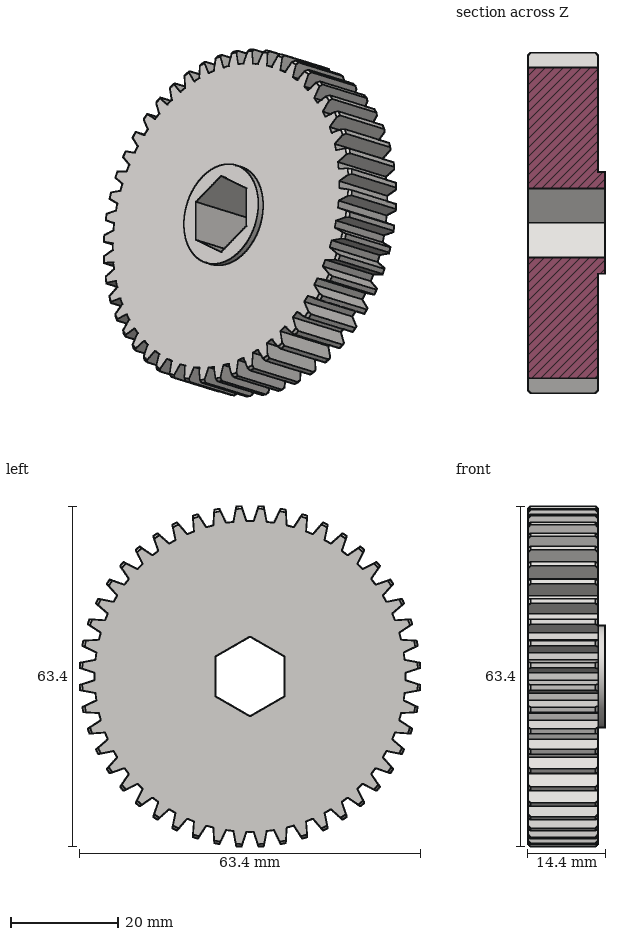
import cadquery as cq
import math

tooth_count = 48
tip_diameter = 63.5
flank_angle = math.radians(14.5)
pitch_thickness = 1.65
dedendum_ratio = 1.2
tip_chamfer = 0.5

gear_width = 13.05
overall_width = 14.4

hub_diameter = 19
hex_across_flats = 12.8

module = tip_diameter / (tooth_count + 2)
pitch_radius = module * tooth_count / 2
tip_radius = tip_diameter / 2
root_radius = pitch_radius - dedendum_ratio * module
pitch_step = 2 * math.pi / tooth_count


def polar(radius, angle):
    """Point at a radius and angle about the gear axis."""
    return (radius * math.cos(angle), radius * math.sin(angle))


def half_tooth_angle(radius):
    """Angle at the gear axis between the tooth centreline and its straight flank."""
    flank_apex = pitch_radius + pitch_thickness / 2 / math.tan(flank_angle)
    return math.asin(flank_apex * math.sin(flank_angle) / radius) - flank_angle


def gear_outline():
    """Closed tooth profile, with tooth gaps centred on the Y and Z axes."""
    root_half = half_tooth_angle(root_radius)
    tip_half = half_tooth_angle(tip_radius)
    outline = cq.Workplane("YZ").moveTo(*polar(root_radius, pitch_step / 2 - root_half))
    for tooth in range(tooth_count):
        centre = (tooth + 0.5) * pitch_step
        gap_centre = centre + pitch_step / 2
        next_root = centre + pitch_step - root_half
        outline = (
            outline
            .lineTo(*polar(tip_radius, centre - tip_half))
            .threePointArc(polar(tip_radius, centre), polar(tip_radius, centre + tip_half))
            .lineTo(*polar(root_radius, centre + root_half))
            .threePointArc(polar(root_radius, gap_centre), polar(root_radius, next_root))
        )
    return outline.close()


def chamfered_blank():
    """Turned disc whose 45 degree edges bevel both ends of the tooth tips."""
    edge_radius = tip_radius - tip_chamfer
    half_section = [
        (0, 0),
        (0, edge_radius),
        (tip_chamfer, tip_radius),
        (gear_width - tip_chamfer, tip_radius),
        (gear_width, edge_radius),
        (gear_width, 0),
    ]
    return cq.Workplane("XY").polyline(half_section).close().revolve(360, (0, 0), (1, 0))


gear = gear_outline().extrude(gear_width).intersect(chamfered_blank())

hub = cq.Workplane("YZ").circle(hub_diameter / 2).extrude(overall_width)

hex_across_corners = hex_across_flats / math.cos(math.pi / 6)
bore = (
    cq.Workplane("YZ")
    .transformed(rotate=(0, 0, 90))
    .polygon(6, hex_across_corners)
    .extrude(overall_width)
)

result = gear.union(hub).cut(bore)